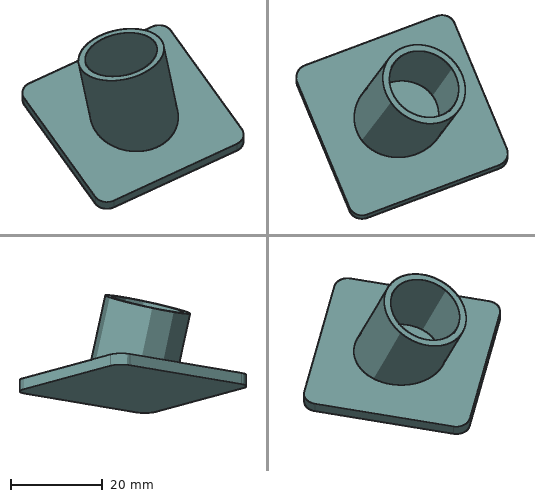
import cadquery as cq
import math

plate_side = 37.0
plate_thickness = 2.5
corner_radius = 3.0

tube_outer_diameter = 19.0
tube_inner_diameter = 16.0
tilt_degrees = 20.0
overall_height = 21.25
mouth_center_x = -5.18

tilt = math.radians(tilt_degrees)
mouth_center_z = overall_height - tube_outer_diameter / 2 * math.sin(tilt)

burial_margin = tube_outer_diameter / 2 * math.tan(tilt)
tube_length = (mouth_center_z - plate_thickness) / math.cos(tilt) + burial_margin


def tilted_cylinder(diameter):
    """Cylinder running down the tube axis from the mouth into the plate."""
    mouth_plane = cq.Plane(
        origin=(mouth_center_x, 0, mouth_center_z),
        xDir=(math.cos(tilt), 0, math.sin(tilt)),
        normal=(-math.sin(tilt), 0, math.cos(tilt)),
    )
    return cq.Workplane(mouth_plane).circle(diameter / 2).extrude(-tube_length)


plate = (
    cq.Workplane("XY")
    .rect(plate_side, plate_side)
    .extrude(plate_thickness)
    .edges("|Z")
    .fillet(corner_radius)
)

space_above_plate = (
    cq.Workplane("XY")
    .workplane(offset=plate_thickness)
    .rect(plate_side, plate_side)
    .extrude(overall_height)
)
tube = (
    tilted_cylinder(tube_outer_diameter)
    .cut(tilted_cylinder(tube_inner_diameter))
    .intersect(space_above_plate)
)

result = plate.union(tube)